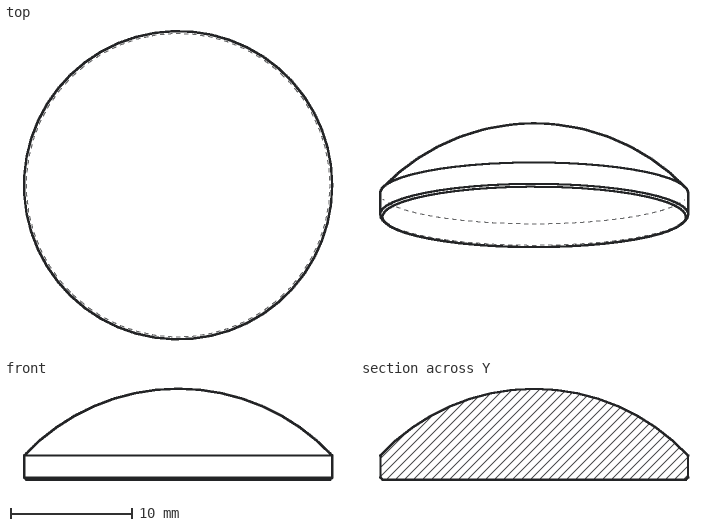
import cadquery as cq

diameter = 25.4
center_thickness = 7.52
edge_thickness = 2.0
bevel = 0.2

radius = diameter / 2
sag = center_thickness - edge_thickness
dome_radius = (radius**2 + sag**2) / (2 * sag)


def lens_body():
    """Cylindrical rim capped by a spherical dome."""
    rim = cq.Workplane("XY").circle(radius).extrude(center_thickness)
    dome_center_z = center_thickness - dome_radius
    dome = cq.Workplane("XY").sphere(dome_radius).translate((0, 0, dome_center_z))
    return rim.intersect(dome)


def bevel_flat_face(body):
    """Bevel the edge between the flat face and the rim."""
    return body.faces("<Z").edges().chamfer(bevel)


result = bevel_flat_face(lens_body())